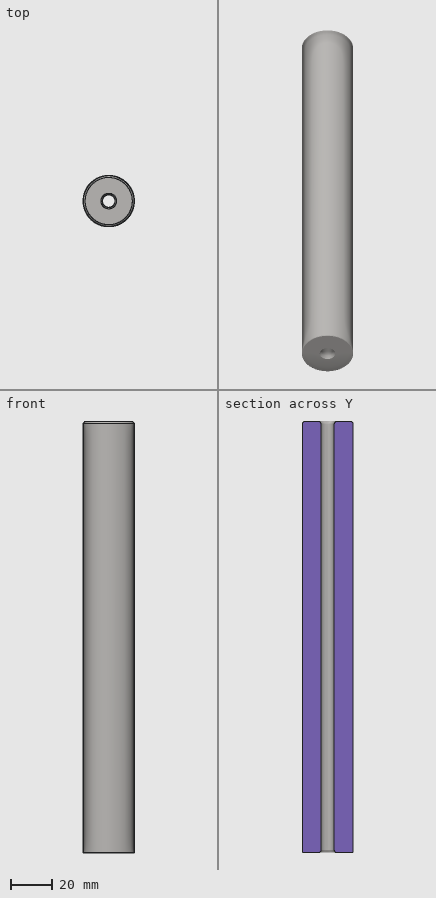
import cadquery as cq

bar_length = 210.0
bar_radius = 25.0 / 2

top_chamfer = 1.0
bottom_chamfer = 0.2

hole_radius = 6.0 / 2
countersink_radius = 7.5 / 2
countersink_depth = 1.3


def make_bar():
    """Revolve the half section of the chamfered, drilled bar about Z."""
    half_section = [
        (hole_radius, countersink_depth),
        (countersink_radius, 0),
        (bar_radius - bottom_chamfer, 0),
        (bar_radius, bottom_chamfer),
        (bar_radius, bar_length - top_chamfer),
        (bar_radius - top_chamfer, bar_length),
        (countersink_radius, bar_length),
        (hole_radius, bar_length - countersink_depth),
    ]
    profile = cq.Workplane("XZ").polyline(half_section).close()
    return profile.revolve(360, (0, 0), (0, 1))


result = make_bar()